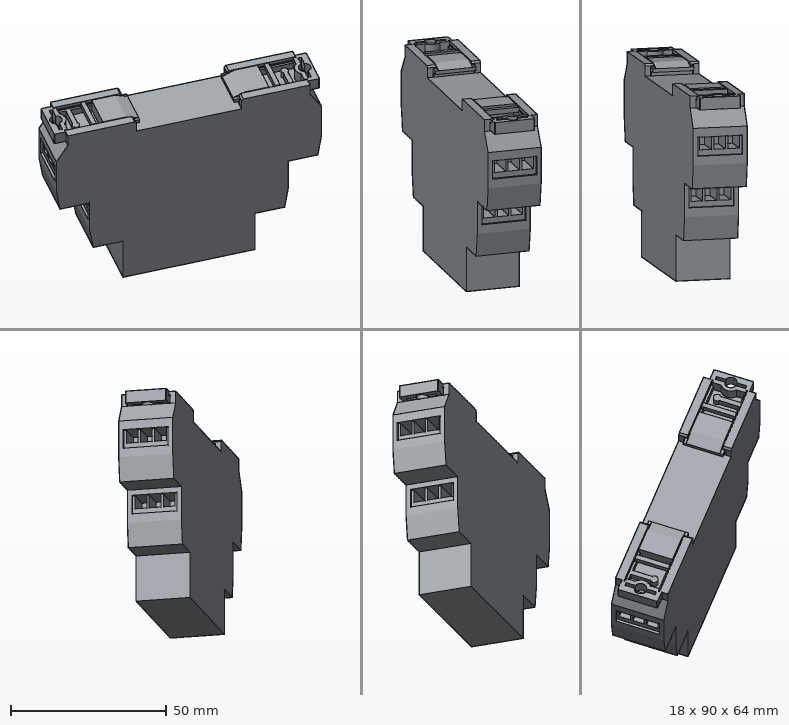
import cadquery as cq

WIDTH = 18.0
LENGTH = 90.0
HEIGHT = 64.0
UPPER_TIER = LENGTH / 2
MIDDLE_TIER = 33.75
LOWER_TIER = 22.4
TAPER = 1.3
TAPER_HEIGHT = 7.8
UPPER_TIER_BOTTOM = 34.0
MIDDLE_TIER_BOTTOM = 15.1
SHOULDER_TOP = 60.0
SHOULDER_INSET = 3.9
SHOULDER_DROP = 5.9

RAIL_INNER_END = 17.8
RAIL_OUTER_END = UPPER_TIER - SHOULDER_INSET
RAIL_CHAMFER = 0.6
RAIL_GAP = 12.1
GROOVE_GAP = 14.2
RAIL_LIP = 1.1

WINDOW_WIDTH = 14.9
WINDOW_HEIGHT = 6.2
WINDOW_DEPTH = 0.9
UPPER_WINDOW_TOP = 51.1
WINDOW_SPACING = UPPER_TIER_BOTTOM - MIDDLE_TIER_BOTTOM
OPENING_WIDTH = 3.9
OPENING_PITCH = 4.7
OPENING_HEIGHT = 4.3
OPENING_DEPTH = 9.0
OPENING_COUNT = 3

PLATE_WIDTH = 13.7
PLATE_TOP = HEIGHT - 1.35
PLATE_THICKNESS = 1.2
CLIP_WIDTH = 11.5
TONGUE_TIP = 16.0
TONGUE_CREST = 20.25
TONGUE_END = 28.2
BAR_START = 30.3
BAR_LENGTH = 1.6
FRAME_OPENING_WIDTH = 10.4
FRAME_TOP = HEIGHT - 1.7
BLOCK_NECK_START = 40.1
BLOCK_CHAMFER = 0.3
BOSS_RADIUS = 3.3
HOLE_RADIUS = 2.0
HOLE_Y = 42.2
SLOT_LENGTH = 10.3
SLOT_WIDTH = 1.1
LEVER_Y = 36.3
LEVER_WIDTH = 1.6
LEVER_HEAD_RADIUS = 1.3
LEVER_HEAD_X = -2.5


def box(width, y_start, y_end, z_bottom, z_top, x_center=0.0):
    """Block centred on x_center, between the given Y and Z limits."""
    size_y = y_end - y_start
    size_z = z_top - z_bottom
    center = (x_center, y_start + size_y / 2, z_bottom + size_z / 2)
    return cq.Workplane("XY").box(width, size_y, size_z).translate(center)


def cylinder(radius, x, y, z_bottom, z_top):
    """Upright cylinder."""
    base = cq.Workplane("XY", origin=(x, y, z_bottom))
    return base.circle(radius).extrude(z_top - z_bottom)


def prism(points, width):
    """Outline in (Y, Z), extruded symmetrically along X."""
    return cq.Workplane("YZ").polyline(points).close().extrude(width / 2, both=True)


def both_ends(shape):
    """The shape and its copy turned half a turn about Z."""
    return shape.union(shape.rotate((0, 0, 0), (0, 0, 1), 180))


def housing():
    half_outline = [
        (LOWER_TIER, 0),
        (LOWER_TIER, MIDDLE_TIER_BOTTOM),
        (MIDDLE_TIER - TAPER, MIDDLE_TIER_BOTTOM),
        (MIDDLE_TIER, MIDDLE_TIER_BOTTOM + TAPER_HEIGHT),
        (MIDDLE_TIER, UPPER_TIER_BOTTOM),
        (UPPER_TIER - TAPER, UPPER_TIER_BOTTOM),
        (UPPER_TIER, UPPER_TIER_BOTTOM + TAPER_HEIGHT),
        (UPPER_TIER, SHOULDER_TOP - SHOULDER_DROP),
        (UPPER_TIER - SHOULDER_INSET, SHOULDER_TOP),
    ]
    mirrored = [(-y, z) for y, z in reversed(half_outline)]
    return prism(half_outline + mirrored, WIDTH)


def rails():
    outline = [
        (RAIL_INNER_END, SHOULDER_TOP),
        (RAIL_OUTER_END, SHOULDER_TOP),
        (RAIL_OUTER_END, HEIGHT),
        (RAIL_INNER_END + RAIL_CHAMFER, HEIGHT),
        (RAIL_INNER_END, HEIGHT - RAIL_CHAMFER),
    ]
    channel = box(RAIL_GAP, RAIL_INNER_END, RAIL_OUTER_END, SHOULDER_TOP, HEIGHT)
    undercut = box(GROOVE_GAP, RAIL_INNER_END, RAIL_OUTER_END, SHOULDER_TOP, HEIGHT - RAIL_LIP)
    return prism(outline, WIDTH).cut(channel).cut(undercut)


def terminal_window(tier_end, top):
    """Shallow recess with a row of deeper wire openings along its top edge."""
    back = tier_end - WINDOW_DEPTH
    window = box(WINDOW_WIDTH, back, tier_end, top - WINDOW_HEIGHT, top)
    for index in range(OPENING_COUNT):
        x = (index - (OPENING_COUNT - 1) / 2) * OPENING_PITCH
        opening = box(OPENING_WIDTH, back - OPENING_DEPTH, back, top - OPENING_HEIGHT, top, x)
        window = window.union(opening)
    return window


def tongue():
    outline = [
        (TONGUE_TIP, PLATE_TOP),
        (TONGUE_END, PLATE_TOP),
        (TONGUE_END, HEIGHT),
        (TONGUE_CREST, HEIGHT),
    ]
    return prism(outline, CLIP_WIDTH)


def lever():
    """Arm with a round head, reaching across the frame opening from its +X side."""
    arm_end = FRAME_OPENING_WIDTH / 2
    arm = box(
        arm_end - LEVER_HEAD_X,
        LEVER_Y - LEVER_WIDTH / 2,
        LEVER_Y + LEVER_WIDTH / 2,
        SHOULDER_TOP,
        FRAME_TOP,
        (arm_end + LEVER_HEAD_X) / 2,
    )
    return arm.union(cylinder(LEVER_HEAD_RADIUS, LEVER_HEAD_X, LEVER_Y, SHOULDER_TOP, FRAME_TOP))


def end_block():
    block = box(PLATE_WIDTH, RAIL_OUTER_END, UPPER_TIER, SHOULDER_TOP, HEIGHT)
    block = block.edges("|Z and >Y").chamfer(BLOCK_CHAMFER)
    neck = box(CLIP_WIDTH, BLOCK_NECK_START, RAIL_OUTER_END, SHOULDER_TOP, HEIGHT)
    boss = cylinder(BOSS_RADIUS, 0, HOLE_Y, SHOULDER_TOP, HEIGHT)
    boss = boss.intersect(box(WIDTH, 0, UPPER_TIER, SHOULDER_TOP, HEIGHT))
    hole = cylinder(HOLE_RADIUS, 0, HOLE_Y, SHOULDER_TOP, HEIGHT)
    slot = box(
        SLOT_LENGTH, HOLE_Y - SLOT_WIDTH / 2, HOLE_Y + SLOT_WIDTH / 2, SHOULDER_TOP, HEIGHT
    )
    return block.union(neck).union(boss).cut(hole).cut(slot)


def base_plate():
    """Plate whose tip overhangs the frame beneath it; both are open beyond the tongue."""
    plate_bottom = PLATE_TOP - PLATE_THICKNESS
    plate = box(PLATE_WIDTH, TONGUE_TIP, RAIL_OUTER_END, plate_bottom, PLATE_TOP)
    plate_opening = box(RAIL_GAP, TONGUE_END, RAIL_OUTER_END, plate_bottom, PLATE_TOP)
    frame = box(PLATE_WIDTH, RAIL_INNER_END, RAIL_OUTER_END, SHOULDER_TOP, FRAME_TOP)
    frame_opening = box(FRAME_OPENING_WIDTH, TONGUE_END, RAIL_OUTER_END, SHOULDER_TOP, FRAME_TOP)
    return plate.cut(plate_opening).union(frame.cut(frame_opening))


def clip():
    bar = box(CLIP_WIDTH, BAR_START, BAR_START + BAR_LENGTH, FRAME_TOP, HEIGHT)
    return base_plate().union(tongue()).union(lever()).union(bar).union(end_block())


windows = both_ends(
    terminal_window(UPPER_TIER, UPPER_WINDOW_TOP).union(
        terminal_window(MIDDLE_TIER, UPPER_WINDOW_TOP - WINDOW_SPACING)
    )
)
result = housing().cut(windows).union(both_ends(rails())).union(both_ends(clip()))